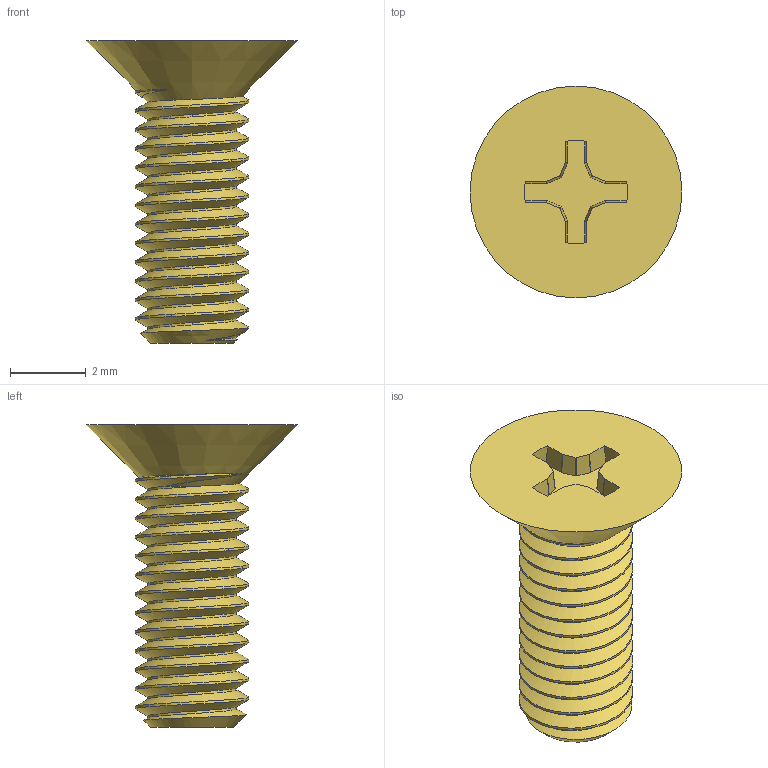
import cadquery as cq
import math


length = 8.0
head_diameter = 5.6
head_radius = head_diameter / 2
thread_diameter = 3.0
thread_radius = thread_diameter / 2
cone_half_angle = 45.0

pitch = 0.5
flank_angle = 30.0
crest_width = pitch / 8
root_width = pitch / 8
thread_depth = (pitch - crest_width - root_width) / 2 / math.tan(math.radians(flank_angle))
core_radius = thread_radius - thread_depth
root_overlap = 0.02
crest_height = 0.268
run_in_turns = 2
thread_turns = 15
seam_angle = -90.0

tip_chamfer = 0.4

arm_count = 4
recess_radius = 1.37
recess_depth = 0.55
recess_draft = 6.0
arm_half_width = 0.283
arm_root = 0.785
flare_corner = 0.43
arm_overrun = 0.5
arm_reach = recess_radius + arm_overrun


def make_head():
    """Cone under the head face, ending where it meets the thread core."""
    cone_height = (head_radius - core_radius) / math.tan(math.radians(cone_half_angle))
    outline = [(0, 0), (head_radius, 0), (core_radius, -cone_height), (0, -cone_height)]
    return cq.Workplane("XZ").polyline(outline).close().revolve(360, (0, 0), (0, 1))


def make_thread_ridge():
    """Right-handed helical ridge with a trapezoidal section."""
    start_z = -length + crest_height - run_in_turns * pitch
    inner_radius = core_radius - root_overlap
    crest_half = crest_width / 2
    inner_half = crest_half + (thread_radius - inner_radius) * math.tan(math.radians(flank_angle))
    section = [
        (inner_radius, -inner_half),
        (thread_radius, -crest_half),
        (thread_radius, crest_half),
        (inner_radius, inner_half),
    ]
    helix = cq.Wire.makeHelix(pitch, thread_turns * pitch, core_radius)
    ridge = cq.Workplane("XZ").polyline(section).close().sweep(cq.Workplane(helix), isFrenet=True)
    return ridge.translate((0, 0, start_z))


def make_shank():
    """Core plus thread ridge, trimmed by the chamfered envelope of the shank."""
    core = cq.Workplane("XY").circle(core_radius).extrude(-length)
    envelope = cq.Workplane("XY").circle(thread_radius).extrude(-length).faces("<Z").chamfer(tip_chamfer)
    trimmed_ridge = make_thread_ridge().intersect(envelope)
    return core.intersect(envelope).union(trimmed_ridge)


def make_recess():
    """Cross with drafted sides and upright, rounded arm ends."""
    quarter = [
        (arm_reach, arm_half_width),
        (arm_root, arm_half_width),
        (flare_corner, flare_corner),
        (arm_half_width, arm_root),
        (arm_half_width, arm_reach),
    ]
    outline = []
    for _ in range(arm_count):
        outline += quarter
        quarter = [(-y, x) for x, y in quarter]
    cross = cq.Workplane("XY").polyline(outline).close().extrude(-recess_depth, taper=recess_draft)
    bound = cq.Workplane("XY").circle(recess_radius).extrude(-recess_depth)
    return cross.intersect(bound)


body = make_head().union(make_shank()).rotate((0, 0, 0), (0, 0, 1), seam_angle)
result = body.cut(make_recess())